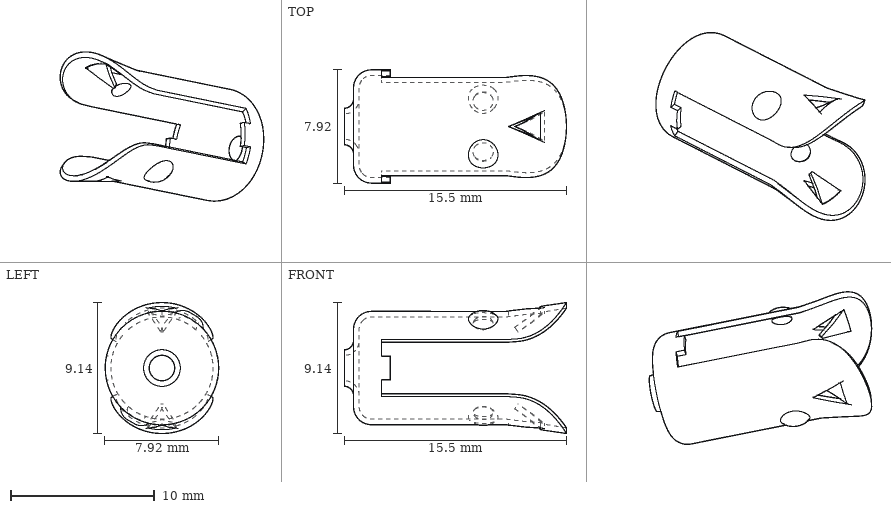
import cadquery as cq
import math

total_length = 15.48
body_radius = 3.96
tip_radius = 4.57
wall = 0.4

nose_radius = 1.28
nose_length = 0.63
cap_fillet = 1.27
cap_end = 2.59

tab_end = 3.2
tab_half_angle = 12.0

arm_half_angle = 60.0
flare_start = 11.27
rounding_start = 12.0
rounding_steps = 12

window_apex = 11.45
window_base = 13.93
window_half_width = 1.14
tongue_bend_end = 13.67
tongue_crease = 12.81
tongue_tip = 11.87
tongue_crease_half_width = 0.58
tongue_bend_drop = 0.05
tongue_root_slope = 42.0
tongue_tip_slope = 36.0

dome_x = 9.67
dome_angle = 30.0
dome_top = 4.32
dome_flat_radius = 0.29
dome_rounding = 0.94
recess_rounding = 0.42

inner_radius = body_radius - wall
nose_fillet_center = nose_radius + nose_length
cap_corner_radius = body_radius - cap_fillet
cap_fillet_x = nose_length + cap_fillet
flare_slope = (tip_radius - body_radius) / (total_length - flare_start)

tool_bottom = 1.0
tool_top = 6.0


def flare_radius(x):
    return body_radius + flare_slope * (x - flare_start)


def arc_point(center_u, center_v, arc_radius, angle):
    """Point of a profile arc at an angle in degrees from the first profile axis."""
    turn = math.radians(angle)
    return (center_u + arc_radius * math.cos(turn), center_v + arc_radius * math.sin(turn))


def revolve_about_axis(profile):
    return profile.close().revolve(360, (0, 0, 0), (1, 0, 0))


def make_shell():
    """Thin wall of revolution: nose, rounded cap, straight body and flared end."""
    inner_fillet = cap_fillet - wall
    inner_nose_arc = nose_length + wall
    profile = (
        cq.Workplane("XY")
        .moveTo(0, nose_radius)
        .threePointArc(
            arc_point(0, nose_fillet_center, nose_length, -45),
            (nose_length, nose_fillet_center),
        )
        .lineTo(nose_length, cap_corner_radius)
        .threePointArc(
            arc_point(cap_fillet_x, cap_corner_radius, cap_fillet, 135),
            (cap_fillet_x, body_radius),
        )
        .lineTo(flare_start, body_radius)
        .lineTo(total_length, tip_radius)
        .lineTo(total_length, tip_radius - wall)
        .lineTo(flare_start, inner_radius)
        .lineTo(cap_fillet_x, inner_radius)
        .threePointArc(
            arc_point(cap_fillet_x, cap_corner_radius, inner_fillet, 135),
            (nose_length + wall, cap_corner_radius),
        )
        .lineTo(nose_length + wall, nose_fillet_center)
        .threePointArc(
            arc_point(0, nose_fillet_center, inner_nose_arc, -45),
            (0, nose_radius - wall),
        )
    )
    return revolve_about_axis(profile)


def radial_tool(draw_outline):
    """Solid whose sides run along radii of the axis; draw_outline(plane, height) draws a section."""
    sections = []
    for height in (tool_bottom, tool_top):
        plane = cq.Workplane("XY").workplane(offset=height)
        sections.append(draw_outline(plane, height).close().val())
    return cq.Workplane(cq.Solid.makeLoft(sections, True))


def draw_arm(plane, height):
    """Arm outline: constant angle, then half an ellipse in (X, angle) up to the tip."""
    points = []
    for step in range(-rounding_steps, rounding_steps + 1):
        turn = math.radians(90 * step / rounding_steps)
        x = rounding_start + (total_length - rounding_start) * math.cos(turn)
        half_angle = math.radians(arm_half_angle * math.sin(turn))
        points.append((x, height * math.tan(half_angle)))
    edge_y = height * math.tan(math.radians(arm_half_angle))
    return (
        plane.moveTo(cap_end, -edge_y)
        .lineTo(*points[0])
        .spline(points[1:], parameters=range(len(points)), includeCurrent=True)
        .lineTo(cap_end, edge_y)
    )


def draw_window(plane, height):
    half_width = window_half_width * height / flare_radius(window_base)
    return plane.polyline(
        [(window_apex, 0), (window_base, -half_width), (window_base, half_width)]
    )


def draw_tongue(plane, height):
    """Tongue outline: fills the window up to the end of the bend, then narrows to a point."""
    scale = height / flare_radius(window_base)
    bend_share = (tongue_bend_end - window_apex) / (window_base - window_apex)
    right_side = [
        (tongue_tip, 0),
        (tongue_crease, -scale * tongue_crease_half_width),
        (tongue_bend_end, -scale * window_half_width * bend_share),
        (window_base, -scale * window_half_width),
    ]
    left_side = [(x, -y) for x, y in right_side[:0:-1]]
    return plane.polyline(right_side + left_side)


def make_tongue():
    """Pointed tongue bent inwards from the window base, curved like the wall around it."""
    base_radius = flare_radius(window_base)
    bend_radius = base_radius - tongue_bend_drop
    root_tangent = math.tan(math.radians(tongue_root_slope))
    tip_tangent = math.tan(math.radians(tongue_tip_slope))
    crease_radius = bend_radius - (tongue_bend_end - tongue_crease) * root_tangent
    point_radius = crease_radius - (tongue_crease - tongue_tip) * tip_tangent
    outer = [
        (window_base, base_radius),
        (tongue_bend_end, bend_radius),
        (tongue_crease, crease_radius),
        (tongue_tip, point_radius),
    ]
    slopes = [0, tongue_root_slope, (tongue_root_slope + tongue_tip_slope) / 2, tongue_tip_slope]
    inner = []
    for (x, radius), slope in zip(outer, slopes):
        inner.append(arc_point(x, radius, wall, slope - 90))
    strip = revolve_about_axis(cq.Workplane("XZ").polyline(outer + inner[::-1]))
    return strip.intersect(radial_tool(draw_tongue))


def dome_blank(top, rounding):
    """Round plug on the dome axis: a flat top, then a quarter-round edge and a straight side."""
    arc_center = top - rounding
    radius = dome_flat_radius + rounding
    blank = (
        cq.Workplane("XZ")
        .moveTo(0, tool_bottom)
        .lineTo(radius, tool_bottom)
        .lineTo(radius, arc_center)
        .threePointArc(
            arc_point(dome_flat_radius, arc_center, rounding, 45),
            (dome_flat_radius, top),
        )
        .lineTo(0, top)
        .close()
        .revolve(360, (0, 0, 0), (0, 1, 0))
    )
    return blank.translate((dome_x, 0, 0)).rotate((0, 0, 0), (1, 0, 0), dome_angle)


def cylinder_along_axis(start, end, radius):
    return cq.Workplane("YZ").workplane(offset=start).circle(radius).extrude(end - start)


def make_arm(shell):
    """Upper arm with its dome, window and tongue."""
    arm = shell.intersect(radial_tool(draw_arm))
    core = cylinder_along_axis(0, total_length, body_radius - wall / 2)
    dome = dome_blank(dome_top, dome_rounding).cut(core)
    recess = dome_blank(dome_top - wall, recess_rounding)
    arm = arm.union(dome).cut(recess)
    return arm.cut(radial_tool(draw_window)).union(make_tongue())


def make_tabs(shell):
    """Two short tabs that project from the cap into the slots."""
    half_height = body_radius * math.sin(math.radians(tab_half_angle))
    bar = cq.Workplane("XY").box(
        tab_end - cap_fillet_x, 2 * tip_radius, 2 * half_height, centered=(False, True, True)
    )
    return shell.intersect(bar.translate((cap_fillet_x, 0, 0)))


shell = make_shell()
cap = shell.intersect(cylinder_along_axis(0, cap_end, tip_radius))
upper_arm = make_arm(shell)
lower_arm = upper_arm.rotate((0, 0, 0), (1, 0, 0), 180)
result = cap.union(make_tabs(shell)).union(upper_arm).union(lower_arm)